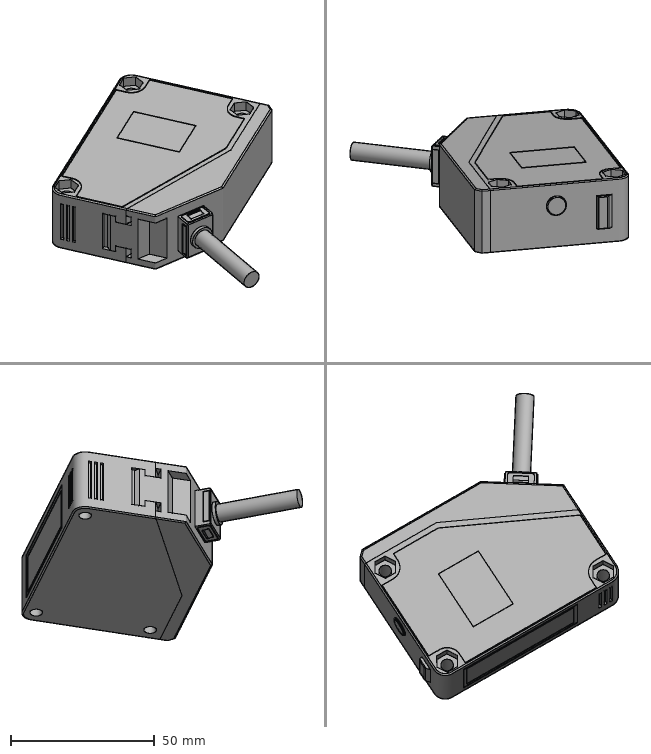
import cadquery as cq
import math

case_width = 55.9
case_depth = 74.55
case_height = 23.5
half_height = case_height / 2
round_corner = 4.5
back_bevel = 2.1
slope_start_x = 39.8
cable_angle = 34.0
small_corner = 0.6
rim_width = 0.6
rim_height = 0.35

out_x = math.cos(math.radians(cable_angle))
out_y = -math.sin(math.radians(cable_angle))
along_x = -out_y
along_y = out_x
slope_run_ratio = along_x / along_y
slope_end_y = (case_width - slope_start_x) / slope_run_ratio

parting_back_x = 50.8
parting_bend_y = 45.2
parting_front_x = 28.8
parting_run_ratio = (parting_back_x - parting_front_x) / parting_bend_y

hole_inset = 4.8
hole_span_x = 41.2
hole_back_y = 69.1
hole_front_y = 5.3
hole_points = [
    (hole_inset, hole_back_y),
    (hole_inset + hole_span_x, hole_back_y),
    (hole_inset, hole_front_y),
]
hole_diameter = 4.3
hex_flats = 7.2
hex_turn = 30.0
hex_depth = 3.6
pad_radius = 5.1

panel_inset = 1.0
panel_right_x = 48.8
panel_bend_y = 45.7
panel_depth = 0.3
label_x, label_y = 11.1, 38.2
label_width, label_length = 23.15, 16.3
label_depth = 0.2

window_center_y = 41.95
window_length, window_height = 46.55, 17.5
window_border = 1.4
window_step = 0.2

slot_count = 3
slot_start = 4.5
slot_pitch = 2.2
slot_width = 1.0
slot_depth = 1.0
front_slot_height = 15.25
side_slot_height = 13.35

tongue_depth = 1.3
head_recess_x = 20.1
head_x = 21.4
head_bevel = 1.6
neck_x = 24.9
head_half_height = 7.6
neck_half_height = 5.2
root_overlap = 0.9

notch_right_x = 30.7
notch_height = 3.6
notch_depth = 4.3
pocket_start_x = 33.2
pocket_depth = 4.1
pocket_height = 17.3

slide_half_height = 6.1
slide_rise = 1.4
slide_left_x, slide_right_x = 6.9, 12.65
slide_ramp, slide_end_ramp = 1.65, 0.35
knob_x, knob_z = 27.05, 3.7
knob_diameter = 7.1
knob_rise = 0.7
button_chamfer = 0.35

gland_offset = 15.0
gland_length = 5.8
gland_bevel = 0.35
gland_half_width = 5.5
gland_half_height = 7.45
gland_root = 1.7
side_pad_start, side_pad_end = 3.1, 5.4
side_pad_rise = 0.35
side_pad_half_height = 6.2
face_pad_start, face_pad_end = 0.5, 5.2
face_pad_half_width = 4.7
face_pad_rise = 0.3
face_pad_corner = 0.9
latch_start, latch_end = 1.65, 4.2
latch_flat = 0.7
latch_half_width = 2.7
latch_rise = 0.3
latch_window_depth = 0.4
collar_diameter = 8.3
collar_end = 7.0
cable_diameter = 6.4
cable_end = 36.7

gland_plane = cq.Plane(
    origin=(slope_start_x + gland_offset * along_x, gland_offset * along_y, 0),
    xDir=(out_x, out_y, 0),
    normal=(0, 0, 1),
)


def box(x0, x1, y0, y1, z0, z1):
    """Axis-aligned box between two corners."""
    return cq.Workplane("XY").box(x1 - x0, y1 - y0, z1 - z0, centered=False).translate((x0, y0, z0))


def at_corner(x, y):
    """Selector for the outline corner at a point."""
    reach = small_corner
    return cq.selectors.BoxSelector((x - reach, y - reach, -reach), (x + reach, y + reach, reach))


def case_outline():
    """Plan outline of the whole case, with its rounded corners."""
    corners = [
        (0, 0),
        (slope_start_x, 0),
        (case_width, slope_end_y),
        (case_width, case_depth - back_bevel),
        (case_width - back_bevel, case_depth),
        (0, case_depth),
        (0, 0),
    ]
    return (
        cq.Sketch()
        .polygon(corners)
        .vertices("<X").fillet(round_corner)
        .reset()
        .vertices(at_corner(slope_start_x, 0)).fillet(small_corner)
        .reset()
        .vertices(at_corner(case_width, slope_end_y)).fillet(small_corner)
    )


def case_block():
    """Solid case with a bevelled rim at the top and the bottom."""
    wall_half = half_height - rim_height
    taper = math.degrees(math.atan2(rim_width, rim_height))
    outline = case_outline()
    wall = cq.Workplane("XY").placeSketch(outline).extrude(wall_half, both=True)
    rim = cq.Workplane("XY").workplane(offset=wall_half).placeSketch(outline).extrude(rim_height, taper=taper)
    return wall.union(rim).union(rim.mirror("XY"))


def housing_side():
    """Region on the housing side of the bent parting surface."""
    margin = 4.3
    return (
        cq.Workplane("XY")
        .polyline([
            (-margin, -margin),
            (parting_front_x - margin * parting_run_ratio, -margin),
            (parting_back_x, parting_bend_y),
            (parting_back_x, case_depth + margin),
            (-margin, case_depth + margin),
        ])
        .close()
        .extrude(case_height, both=True)
    )


def cut_mounting_holes(body):
    """Through holes with a hexagonal nut pocket at the top."""
    holes = cq.Workplane("XY").pushPoints(hole_points).circle(hole_diameter / 2).extrude(case_height, both=True)
    for x, y in hole_points:
        nut = (
            cq.Workplane("XY")
            .polygon(6, hex_flats / math.cos(math.pi / 6))
            .extrude(hex_depth)
            .rotate((0, 0, 0), (0, 0, 1), hex_turn)
            .translate((x, y, half_height - hex_depth))
        )
        holes = holes.union(nut)
    return body.cut(holes)


def cut_top_panel(body):
    """Shallow panel that leaves a raised pad at each hole, with a label recess in it."""
    floor_z = half_height - panel_depth
    panel_front_x = panel_right_x - (panel_bend_y - panel_inset) * parting_run_ratio
    panel = (
        cq.Workplane("XY")
        .workplane(offset=floor_z)
        .polyline([
            (panel_inset, panel_inset),
            (panel_front_x, panel_inset),
            (panel_right_x, panel_bend_y),
            (panel_right_x, case_depth - panel_inset),
            (panel_inset, case_depth - panel_inset),
        ])
        .close()
        .extrude(panel_depth)
    )
    pad_reach = 2 * pad_radius
    for x, y in hole_points:
        toward_x = -1 if x < case_width / 2 else 1
        toward_y = -1 if y < case_depth / 2 else 1
        pad = (
            cq.Workplane("XY")
            .workplane(offset=floor_z)
            .moveTo(x - toward_x * pad_radius, y + toward_y * pad_reach)
            .lineTo(x - toward_x * pad_radius, y)
            .radiusArc((x, y - toward_y * pad_radius), -toward_x * toward_y * pad_radius)
            .lineTo(x + toward_x * pad_reach, y - toward_y * pad_radius)
            .lineTo(x + toward_x * pad_reach, y + toward_y * pad_reach)
            .close()
            .extrude(panel_depth)
        )
        panel = panel.cut(pad)
    label = box(label_x, label_x + label_width, label_y, label_y + label_length, floor_z - label_depth, floor_z)
    return body.cut(panel).cut(label)


def cut_window(body):
    """Stepped window recess in the -X face."""
    for step, border in ((1, 0), (2, window_border)):
        half_length = window_length / 2 - border
        half_window = window_height / 2 - border
        body = body.cut(box(
            0, step * window_step,
            window_center_y - half_length, window_center_y + half_length,
            -half_window, half_window,
        ))
    return body


def cut_vent_slots(body):
    """Rows of upright slots on both sides of the front left corner."""
    for index in range(slot_count):
        near = slot_start + index * slot_pitch
        far = near + slot_width
        body = body.cut(box(near, far, 0, slot_depth, -front_slot_height / 2, front_slot_height / 2))
        body = body.cut(box(0, slot_depth, near, far, -side_slot_height / 2, side_slot_height / 2))
    return body


def tongue_neck():
    """Narrow part of the tongue, from the head to the slanted parting surface."""
    root_x = parting_front_x + root_overlap
    return box(neck_x, root_x, 0, tongue_depth, -neck_half_height, neck_half_height)


def tongue_recess():
    """T-shaped recess that holds the tongue, with free space ahead of its head."""
    head = box(head_recess_x, neck_x, 0, tongue_depth, -head_half_height, head_half_height)
    return head.union(tongue_neck())


def tongue():
    """T-shaped tongue whose head ends in a bevel."""
    head = (
        cq.Workplane("XY")
        .polyline([
            (head_x, tongue_depth),
            (head_x + head_bevel, 0),
            (neck_x, 0),
            (neck_x, tongue_depth),
        ])
        .close()
        .extrude(head_half_height, both=True)
    )
    return head.union(tongue_neck())


def back_buttons():
    """Ramped slide and round knob on the back face."""
    top_y = case_depth + slide_rise
    slide = (
        cq.Workplane("XY")
        .polyline([
            (slide_left_x, case_depth),
            (slide_left_x + slide_ramp, top_y),
            (slide_right_x - slide_end_ramp, top_y),
            (slide_right_x, case_depth),
        ])
        .close()
        .extrude(slide_half_height, both=True)
        .faces(">Y").edges().chamfer(button_chamfer)
    )
    knob = (
        cq.Workplane("XZ", origin=(knob_x, case_depth, knob_z))
        .circle(knob_diameter / 2)
        .extrude(-knob_rise)
        .faces(">Y").edges().chamfer(button_chamfer)
    )
    return slide.union(knob)


def gland_box(out_0, out_1, half_width, half_height_z):
    """Box centred on the cable axis, between two distances from the sloped face."""
    return (
        cq.Workplane(gland_plane)
        .center((out_0 + out_1) / 2, 0)
        .rect(out_1 - out_0, 2 * half_width)
        .extrude(half_height_z, both=True)
    )


def axis_cylinder(diameter, out_0, out_1):
    """Cylinder on the cable axis, between two distances from the sloped face."""
    plane = cq.Plane(
        origin=gland_plane.toWorldCoords((out_0, 0, 0)),
        xDir=(-along_x, -along_y, 0),
        normal=(out_x, out_y, 0),
    )
    return cq.Workplane(plane).circle(diameter / 2).extrude(out_1 - out_0)


def gland_latch():
    """Latch on the upper and lower gland faces: a raised strip, then a ramp down to the window floor."""
    base = gland_half_height + face_pad_rise
    plane = cq.Plane(
        origin=gland_plane.toWorldCoords((0, 0, 0)),
        xDir=(out_x, out_y, 0),
        normal=(-along_x, -along_y, 0),
    )
    return (
        cq.Workplane(plane)
        .polyline([
            (latch_start, -base - latch_rise),
            (latch_start, base + latch_rise),
            (latch_start + latch_flat, base + latch_rise),
            (latch_end, base - latch_window_depth),
            (latch_end, -base + latch_window_depth),
            (latch_start + latch_flat, -base - latch_rise),
        ])
        .close()
        .extrude(latch_half_width, both=True)
    )


def cut_latch_windows(block):
    """Shallow windows in both face pads, into which the latch ramps run down."""
    face_z = gland_half_height + face_pad_rise
    windows = gland_box(latch_start, latch_end, latch_half_width, face_z)
    core = gland_box(latch_start, latch_end, latch_half_width, face_z - latch_window_depth)
    return block.cut(windows.cut(core))


def gland_and_cable():
    """Gland block with its pads, latch, collar and cable."""
    block = gland_box(-gland_root, gland_length, gland_half_width, gland_half_height)
    end_face = cq.selectors.DirectionMinMaxSelector(cq.Vector(out_x, out_y, 0))
    block = block.faces(end_face).edges().chamfer(gland_bevel)
    side_pads = gland_box(
        side_pad_start, side_pad_end, gland_half_width + side_pad_rise, side_pad_half_height)
    face_pads = gland_box(
        face_pad_start, face_pad_end, face_pad_half_width, gland_half_height + face_pad_rise)
    face_pads = face_pads.edges("|Z").fillet(face_pad_corner)
    collar = axis_cylinder(collar_diameter, 0, collar_end)
    cable = axis_cylinder(cable_diameter, 0, cable_end)
    block = cut_latch_windows(block.union(side_pads).union(face_pads))
    return block.union(gland_latch()).union(collar).union(cable)


def cut_tongue_notches(body):
    """Notches above and below the tongue root that bare the slanted parting surface."""
    for z0 in (neck_half_height, -neck_half_height - notch_height):
        body = body.cut(box(neck_x, notch_right_x, 0, notch_depth, z0, z0 + notch_height))
    return body


def cut_corner_pocket(body):
    """Pocket in the front face that runs out through the sloped face."""
    pocket = (
        cq.Workplane("XY")
        .polyline([
            (pocket_start_x, 0),
            (pocket_start_x + pocket_depth * slope_run_ratio, pocket_depth),
            (slope_start_x + pocket_depth * slope_run_ratio, pocket_depth),
            (slope_start_x, 0),
        ])
        .close()
        .extrude(pocket_height / 2, both=True)
    )
    return body.cut(pocket)


def make_housing():
    body = case_block().intersect(housing_side())
    body = cut_mounting_holes(body)
    body = cut_top_panel(body)
    body = cut_window(body)
    body = cut_vent_slots(body)
    body = body.cut(tongue_recess())
    return body.union(back_buttons())


def make_cover():
    body = case_block().cut(housing_side())
    body = cut_tongue_notches(body)
    body = cut_corner_pocket(body)
    body = body.union(tongue())
    return body.union(gland_and_cable())


housing = make_housing()
cover = make_cover()

result = cq.Compound.makeCompound([housing.solids().val(), cover.solids().val()])